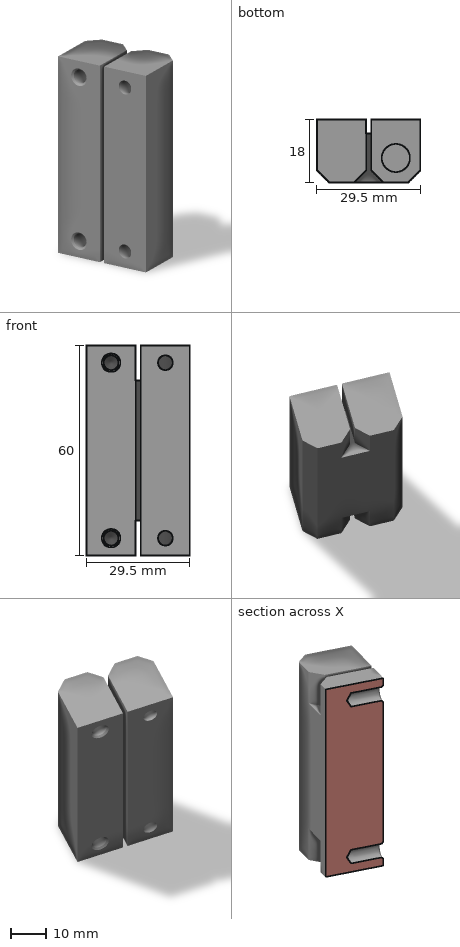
import cadquery as cq
import math


length = 60.0
depth = 18.0
overall_width = 29.5
leaf_width = 14.05
chamfer = 3.5
leaf_offset = (overall_width - leaf_width) / 2
front_y = -depth / 2
back_y = depth / 2

knuckle_length = 39.95
knuckle_depth = 14.0
pin_diameter = 8.05
pin_x = leaf_offset
pin_y = back_y - knuckle_depth / 2

hole_diameter = 4.2
hole_end_distance = 5.0
hole_z = length / 2 - hole_end_distance
countersink_diameter = 5.3
countersink_depth = (countersink_diameter - hole_diameter) / 2
blind_depth = 10.0
drill_point_angle = 118.0


def leaf_block(center_x):
    """Upright block with its two rear edges chamfered."""
    block = cq.Workplane("XY").box(leaf_width, depth, length)
    return block.edges("|Z and >Y").chamfer(chamfer).translate((center_x, 0, 0))


def pin_cylinder():
    """Full-length cylinder on the hinge axis, used for the pin and its bore."""
    return (
        cq.Workplane("XY", origin=(pin_x, pin_y, -length / 2))
        .circle(pin_diameter / 2)
        .extrude(length)
    )


def knuckle_block():
    """Middle stretch from the fixed leaf's centre across the second leaf."""
    width = 2 * leaf_offset + leaf_width / 2
    return (
        cq.Workplane("XY")
        .box(width, knuckle_depth, knuckle_length)
        .translate((overall_width / 2 - width / 2, pin_y, 0))
        .edges("|Z and >X and >Y")
        .chamfer(chamfer)
    )


def blind_hole(z):
    """Countersunk blind hole with a drill point in the fixed leaf."""
    radius = hole_diameter / 2
    point_depth = radius / math.tan(math.radians(drill_point_angle / 2))
    return (
        cq.Workplane("XY", origin=(-leaf_offset, front_y, z))
        .moveTo(0, 0)
        .lineTo(countersink_diameter / 2, 0)
        .lineTo(radius, countersink_depth)
        .lineTo(radius, blind_depth)
        .lineTo(0, blind_depth + point_depth)
        .close()
        .revolve(360, (0, 0), (0, 1))
    )


def pin_screw_hole(z):
    """Plain hole from the front face of the second leaf into the pin bore."""
    return (
        cq.Workplane("XZ", origin=(pin_x, front_y, z))
        .circle(hole_diameter / 2)
        .extrude(-(pin_y - front_y))
    )


def make_knuckle_leaf():
    leaf = leaf_block(-leaf_offset).union(knuckle_block()).cut(pin_cylinder())
    for z in (-hole_z, hole_z):
        leaf = leaf.cut(blind_hole(z))
    return leaf


def make_notched_leaf():
    leaf = leaf_block(leaf_offset).cut(knuckle_block()).cut(pin_cylinder())
    for z in (-hole_z, hole_z):
        leaf = leaf.cut(pin_screw_hole(z))
    return leaf


knuckle_leaf = make_knuckle_leaf()
notched_leaf = make_notched_leaf()
pin = pin_cylinder()

result = cq.Compound.makeCompound([*knuckle_leaf.solids().vals(), *notched_leaf.solids().vals(), pin.val()])